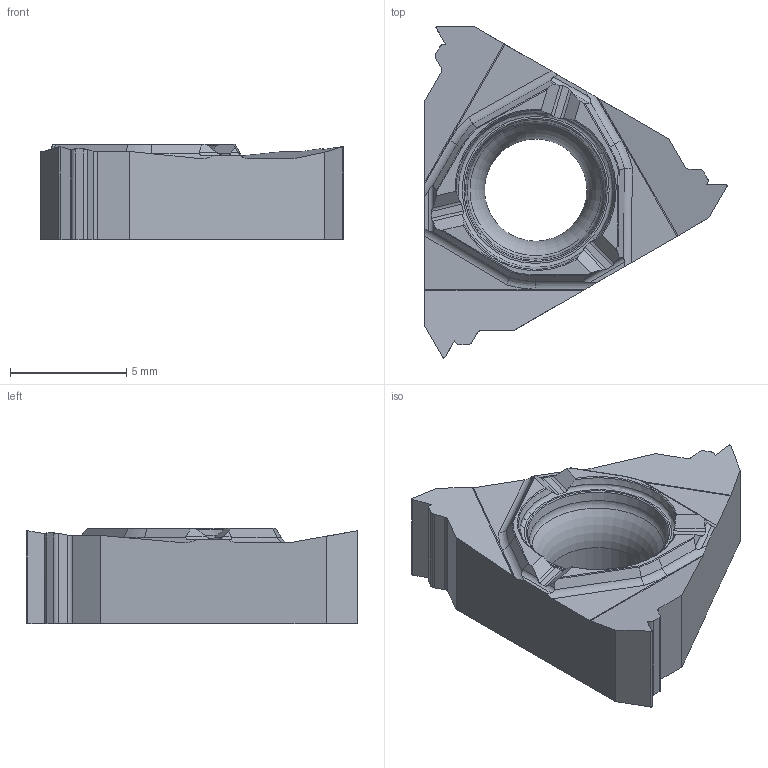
import cadquery as cq
import math

CORNER_COUNT = 3
CORNER_ANGLES = [i * 360 / CORNER_COUNT for i in range(CORNER_COUNT)]
COS60 = math.cos(math.radians(60))
TAN60 = math.tan(math.radians(60))
SIN60 = math.sin(math.radians(60))

height = 4.1
floor_height = 3.485
inscribed_radius = 9.525 / 2
oversize = 20
selection_margin = 0.02

flank_reach = 7.05
tip_center_y = -7.17
tip_radius = 0.05
crest_y = -6.65
notch_y = -6.475
shoulder_y = -6.05
tooth_root_x = -2.465
tooth_radius = 0.2

slope_start = 4.295
slope_angle = 10
crease_radius = 0.25

wall_angle = 30
plateau_radius = 3.68
slant_distance = 3.56
slant_angle = -30.8
foot_radius = 0.4
edge_radius = 0.05

relief_top = 4.26
relief_floor_height = 3.6
relief_lean = 20
relief_radius = 0.23

groove_angle = 193.5
groove_depth = 0.46
groove_top_width = 1.5
groove_floor_width = 0.44
groove_edge_radius = 0.2

bore_radius = 4.4 / 2
rim_radius = 3.43
shelf_wall_radius = 3.33
shelf_wall_depth = 0.3
shelf_outer_radius = 3.16
shelf_depth = 0.48
seat_wall_top_radius = 3.04
seat_wall_foot_radius = 2.95
seat_wall_foot_depth = 0.91
seat_top_radius = 2.83
seat_top_depth = 1.22
seat_bottom_depth = 2.85


def rotated(point, angle):
    """Turn a plan point about the bore axis, angle in degrees."""
    x, y = point
    c = math.cos(math.radians(angle))
    s = math.sin(math.radians(angle))
    return (x * c - y * s, x * s + y * c)


def meet(normal_a, distance_a, normal_b, distance_b):
    """Meeting point of two lines, each given by its normal's angle and its distance from the axis."""
    a = math.radians(normal_a)
    b = math.radians(normal_b)
    s = math.sin(b - a)
    x = (distance_a * math.sin(b) - distance_b * math.sin(a)) / s
    y = (distance_b * math.cos(a) - distance_a * math.cos(b)) / s
    return (x, y)


def make_body():
    """Full-height prism with the thread profile at each corner."""
    tip_center_x = (tip_center_y * COS60 + flank_reach - tip_radius) / -SIN60
    tip = (tip_center_x, tip_center_y - 2 * tip_radius)
    notch = (tip[0] + (notch_y - tip[1]) / TAN60, notch_y)
    tooth_near = (notch[0] + (notch_y - crest_y) / TAN60, crest_y)
    tooth_far = (tooth_root_x - (shoulder_y - crest_y) / TAN60, crest_y)
    tooth_root = (tooth_root_x, shoulder_y)
    corner = [
        meet(180, inscribed_radius, 210, flank_reach),
        tip,
        notch,
        tooth_near,
        tooth_far,
        tooth_root,
        meet(270, -shoulder_y, 300, inscribed_radius),
    ]
    outline = [rotated(p, angle) for angle in CORNER_ANGLES for p in corner]
    body = cq.Workplane("XY").polyline(outline).close().extrude(height)
    rounds = [
        (tip, tip_radius),
        (tooth_near, tooth_radius),
        (tooth_far, tooth_radius),
        (tooth_root, tooth_radius),
    ]
    for point, radius in rounds:
        for angle in CORNER_ANGLES:
            edge_middle = (*rotated(point, angle), height / 2)
            body = body.edges(cq.selectors.NearestToPointSelector(edge_middle)).fillet(radius)
    return body


def make_plateau():
    """Raised plateau with leaning walls, standing on a wide floor plate with a filleted foot."""
    lean = (height - floor_height) * math.tan(math.radians(wall_angle))
    radius = plateau_radius + lean
    slant = slant_distance + lean
    slant_normal = 270 + slant_angle
    arc_sweep = math.degrees(math.acos(slant / radius))
    arc_start = rotated((radius, 0), slant_normal + arc_sweep)
    arc_middle = rotated((radius, 0), (slant_normal + arc_sweep + 270) / 2)
    arc_end = (0, -radius)
    flat_to_slant = meet(270, radius, slant_normal + CORNER_ANGLES[1], slant)

    foot = cq.Workplane("XY").workplane(offset=floor_height)
    foot = foot.moveTo(*rotated(flat_to_slant, CORNER_ANGLES[-1]))
    for angle in CORNER_ANGLES:
        foot = foot.lineTo(*rotated(arc_start, angle))
        foot = foot.threePointArc(rotated(arc_middle, angle), rotated(arc_end, angle))
        if angle != CORNER_ANGLES[-1]:
            foot = foot.lineTo(*rotated(flat_to_slant, angle))
    plateau = foot.close().extrude(height - floor_height, taper=wall_angle)
    plateau = plateau.faces(">Z").edges().fillet(edge_radius)

    plate = cq.Workplane("XY").circle(oversize).extrude(floor_height)
    foot_edges = cq.selectors.BoxSelector(
        (-oversize / 2, -oversize / 2, floor_height - selection_margin),
        (oversize / 2, oversize / 2, floor_height + selection_margin),
    )
    return plate.union(plateau).edges(foot_edges).fillet(foot_radius)


def make_chip_slope():
    """Slope rising towards the -Y corner, blended into the floor along the crease."""
    slope = math.radians(slope_angle)
    tangent = crease_radius * math.tan(slope / 2)
    blend_end_y = -slope_start - tangent * math.cos(slope)
    blend_end_z = floor_height + tangent * math.sin(slope)
    blend_middle_y = -slope_start + tangent - crease_radius * math.sin(slope / 2)
    blend_middle_z = floor_height + crease_radius * (1 - math.cos(slope / 2))
    run = oversize / 2
    profile = (
        cq.Workplane("YZ")
        .moveTo(-slope_start + tangent, floor_height)
        .threePointArc((blend_middle_y, blend_middle_z), (blend_end_y, blend_end_z))
        .lineTo(-slope_start - run, floor_height + run * math.tan(slope))
        .lineTo(-slope_start - run, 0)
        .lineTo(-slope_start + tangent, 0)
        .close()
    )
    return profile.extrude(oversize, both=True)


def make_side_relief():
    """Cutter that lowers the plateau where it meets the flat side facing -X."""
    lean = math.radians(relief_lean)
    wall_foot = relief_top + (height - relief_floor_height) * math.tan(lean)
    foot_edge = cq.selectors.NearestToPointSelector((-wall_foot, 0, relief_floor_height))
    return (
        cq.Workplane("XZ")
        .moveTo(-relief_top, height)
        .lineTo(-wall_foot, relief_floor_height)
        .lineTo(-oversize, relief_floor_height)
        .lineTo(-oversize, height)
        .close()
        .extrude(inscribed_radius, both=True)
        .edges(foot_edge)
        .fillet(relief_radius)
    )


def make_groove():
    """Radial groove with leaning flanks and a rounded floor, running outwards from the bore axis."""
    cutter_top = groove_depth
    top_half = groove_top_width - groove_floor_width / 2
    groove = (
        cq.Workplane("YZ")
        .workplane(origin=(0, 0, height))
        .moveTo(-groove_floor_width / 2, -groove_depth)
        .lineTo(groove_floor_width / 2, -groove_depth)
        .lineTo(top_half, cutter_top)
        .lineTo(-top_half, cutter_top)
        .close()
        .extrude(oversize)
        .edges("|X and <Z")
        .fillet(groove_edge_radius)
    )
    return groove.rotate((0, 0, 0), (0, 0, 1), groove_angle)


def make_bore():
    """Through bore with a curved screw seat, a short seat wall and a rounded shelf under the rim."""
    seat_bottom = height - seat_bottom_depth
    seat_top = height - seat_top_depth
    wall_foot = height - seat_wall_foot_depth
    shelf = height - shelf_depth
    shelf_wall = height - shelf_wall_depth
    profile = (
        cq.Workplane("XZ")
        .lineTo(bore_radius, 0)
        .lineTo(bore_radius, seat_bottom)
        .tangentArcPoint((seat_top_radius, seat_top), relative=False)
        .tangentArcPoint((seat_wall_foot_radius, wall_foot), relative=False)
        .lineTo(seat_wall_top_radius, shelf)
        .lineTo(shelf_outer_radius, shelf)
        .tangentArcPoint((shelf_wall_radius, shelf_wall), relative=False)
        .lineTo(rim_radius, height)
        .lineTo(0, height)
        .close()
    )
    return profile.revolve(360, (0, 0, 0), (0, 1, 0))


def ring_selector(radius, level):
    """Selects the circular edge of the bore with the given radius and height."""
    return cq.selectors.BoxSelector(
        (-radius - selection_margin, -radius - selection_margin, level - selection_margin),
        (radius + selection_margin, radius + selection_margin, level + selection_margin),
        boundingbox=True,
    )


top_form = make_plateau()
side_relief = make_side_relief()
chip_slope = make_chip_slope()
groove = make_groove()
for angle in CORNER_ANGLES:
    top_form = top_form.cut(side_relief.rotate((0, 0, 0), (0, 0, 1), angle))
for angle in CORNER_ANGLES:
    top_form = top_form.union(chip_slope.rotate((0, 0, 0), (0, 0, 1), angle))
result = make_body().intersect(top_form).cut(make_bore())
for radius, level in [(rim_radius, height), (seat_wall_top_radius, height - shelf_depth)]:
    result = result.edges("%CIRCLE").edges(ring_selector(radius, level)).fillet(edge_radius)
for angle in CORNER_ANGLES:
    result = result.cut(groove.rotate((0, 0, 0), (0, 0, 1), angle))